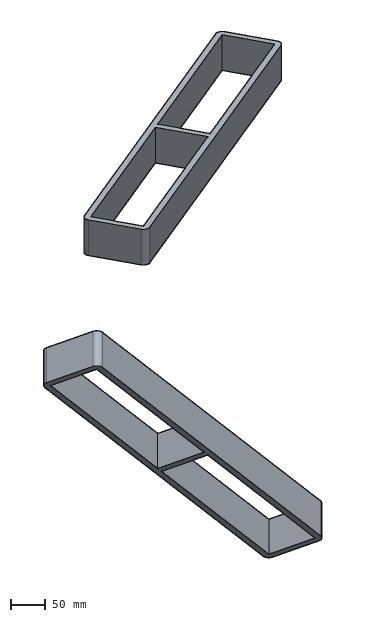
import cadquery as cq

width = 101.0
length = 586.0
height = 60.0
wall = 10.0
corner_radius = 10.0

divider = 10.0
opening_width = width - 2 * wall
opening_length = (length - 2 * wall - divider) / 2
opening_offset = (opening_length + divider) / 2

frame = cq.Workplane("XY").rect(width, length).extrude(height).edges("|Z").fillet(corner_radius)

openings = (
    cq.Workplane("XY")
    .pushPoints([(0, -opening_offset), (0, opening_offset)])
    .rect(opening_width, opening_length)
    .extrude(height)
)

result = frame.cut(openings)